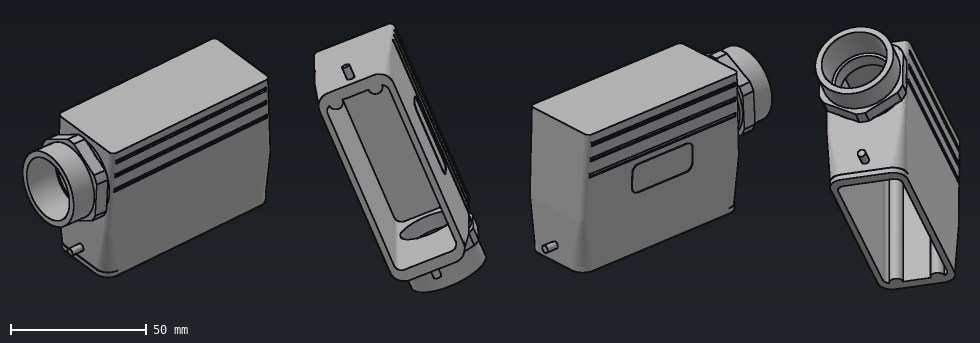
import cadquery as cq
import math

FLANGE_HEIGHT = 2.3
KNEE_HEIGHT = 22.3
BODY_HEIGHT = 58.31
BASE_HALF_WIDTH = 14.75
TOP_HALF_WIDTH = 16.2
BASE_HALF_LENGTH = 39.55
KNEE_HALF_LENGTH = 39.45
BODY_SHIFT = 0.1
END_TILT = 3.0
BASE_CORNER_RADIUS = 5.6
UPPER_CORNER_RADIUS = 2.1

CAVITY_HALF_WIDTH = 12.3
CAVITY_HALF_LENGTH = 35.0
CAVITY_CORNER_RADIUS = 3.0
ROOF_THICKNESS = 3.0
POST_RADIUS = 2.7
POST_OFFSET = 7.9

GROOVE_BANDS = ((40.2, 41.7), (46.9, 48.4), (53.2, 54.7))
GROOVE_FLOOR_HALF_WIDTH = 15.1
LABEL_LENGTH = 30.0
LABEL_HEIGHT = 12.0
LABEL_CORNER_RADIUS = 3.0
LABEL_CENTER_HEIGHT = 31.3
LABEL_DEPTH = 0.3

PIN_DIAMETER = 3.0
PIN_HEIGHT = 7.05
PIN_TIP_Y = 44.55

ENTRY_HEIGHT = 40.45
ENTRY_LENGTH = 16.61
COLLAR_DIAMETER = 31.0
SLEEVE_DIAMETER = 30.0
HEX_START = 1.45
HEX_THICKNESS = 5.35
HEX_ACROSS_FLATS = 32.0
HEX_CORNER_DIAMETER = 35.0
MOUTH_DIAMETER = 25.0
SEAT_DIAMETER = 24.24
THROUGH_DIAMETER = 21.8
TAPER_DEPTH = 12.5
SEAT_DEPTH = 13.4
THROUGH_DEPTH = 24.0


def half_width(z):
    """Outer half width of the hood; the sides flare evenly above the flange."""
    flare = (TOP_HALF_WIDTH - BASE_HALF_WIDTH) / (BODY_HEIGHT - FLANGE_HEIGHT)
    return BASE_HALF_WIDTH + flare * max(0.0, z - FLANGE_HEIGHT)


def upper_half_length(z):
    """Outer half length of the hood above the knee."""
    return KNEE_HALF_LENGTH - (z - KNEE_HEIGHT) * math.tan(math.radians(END_TILT))


def section(z, half_length, radius, shift=0.0):
    """Rounded rectangular outline of the hood at height z, moved by shift along Y."""
    outline = cq.Sketch().rect(2 * half_width(z), 2 * half_length).vertices().fillet(radius)
    return outline.moved(cq.Location(cq.Vector(0, shift, z)))


def ruled_between(lower, upper):
    return cq.Workplane("XY").placeSketch(lower, upper).loft(ruled=True)


def make_shell():
    base = section(0, BASE_HALF_LENGTH, BASE_CORNER_RADIUS)
    flange_top = section(FLANGE_HEIGHT, BASE_HALF_LENGTH, BASE_CORNER_RADIUS)
    body_base = section(FLANGE_HEIGHT, KNEE_HALF_LENGTH, BASE_CORNER_RADIUS, BODY_SHIFT)
    knee = section(KNEE_HEIGHT, KNEE_HALF_LENGTH, UPPER_CORNER_RADIUS, BODY_SHIFT)
    top = section(BODY_HEIGHT, upper_half_length(BODY_HEIGHT), UPPER_CORNER_RADIUS, BODY_SHIFT)
    shell = ruled_between(base, flange_top)
    shell = shell.union(ruled_between(body_base, knee))
    return shell.union(ruled_between(knee, top))


def make_cavity():
    """Empty space inside the hood, notched by the two posts."""
    depth = BODY_HEIGHT - ROOF_THICKNESS
    cavity = (
        cq.Workplane("XY")
        .rect(2 * CAVITY_HALF_WIDTH, 2 * CAVITY_HALF_LENGTH)
        .extrude(depth)
        .edges("|Z")
        .fillet(CAVITY_CORNER_RADIUS)
    )
    posts = (
        cq.Workplane("XY")
        .pushPoints([(side * POST_OFFSET, CAVITY_HALF_LENGTH) for side in (-1, 1)])
        .circle(POST_RADIUS)
        .extrude(depth)
    )
    return cavity.cut(posts)


def cut_grooves(body):
    """Rectangular grooves on both long sides, ending where the corner rounding begins."""
    for bottom, top in GROOVE_BANDS:
        length = 2 * (upper_half_length(top) - UPPER_CORNER_RADIUS)
        width = 2 * (TOP_HALF_WIDTH - GROOVE_FLOOR_HALF_WIDTH)
        for side in (-1, 1):
            groove = cq.Workplane("XY").box(width, length, top - bottom)
            body = body.cut(groove.translate((side * TOP_HALF_WIDTH, BODY_SHIFT, (bottom + top) / 2)))
    return body


def cut_label(body):
    """Shallow rounded recess in the -X side, parallel to the flared wall."""
    flare_slope = half_width(LABEL_CENTER_HEIGHT + 1) - half_width(LABEL_CENTER_HEIGHT)
    wall = cq.Plane(
        origin=(-half_width(LABEL_CENTER_HEIGHT), 0, LABEL_CENTER_HEIGHT),
        xDir=(0, -1, 0),
        normal=(-1, 0, -flare_slope),
    )
    outline = cq.Sketch().rect(LABEL_LENGTH, LABEL_HEIGHT).vertices().fillet(LABEL_CORNER_RADIUS)
    return body.cut(cq.Workplane(wall).placeSketch(outline).extrude(-LABEL_DEPTH))


def make_pin(end):
    """Pin on the end wall in the direction end (+1 or -1 along Y), rooted in that wall."""
    root = cq.Workplane("XZ", origin=(0, end * CAVITY_HALF_LENGTH, PIN_HEIGHT))
    return root.circle(PIN_DIAMETER / 2).extrude(-end * (PIN_TIP_Y - CAVITY_HALF_LENGTH))


def entry_workplane(distance):
    """Plane across the cable entry, at a distance outward from the end wall."""
    tilt = math.radians(END_TILT)
    plane = cq.Plane(
        origin=(0, BODY_SHIFT - upper_half_length(ENTRY_HEIGHT), ENTRY_HEIGHT),
        xDir=(0, math.sin(tilt), math.cos(tilt)),
        normal=(0, -math.cos(tilt), math.sin(tilt)),
    )
    return cq.Workplane(plane).workplane(offset=distance)


def make_entry():
    collar = entry_workplane(0).circle(COLLAR_DIAMETER / 2).extrude(HEX_START)
    across_corners = HEX_ACROSS_FLATS / math.cos(math.pi / 6)
    hexagon = entry_workplane(HEX_START).polygon(6, across_corners).extrude(HEX_THICKNESS)
    corner_limit = entry_workplane(HEX_START).circle(HEX_CORNER_DIAMETER / 2).extrude(HEX_THICKNESS)
    sleeve = entry_workplane(0).circle(SLEEVE_DIAMETER / 2).extrude(ENTRY_LENGTH)
    return collar.union(hexagon.intersect(corner_limit)).union(sleeve)


def make_entry_bore():
    """Tapered mouth, straight seat and narrower hole through to the cavity."""
    taper = (
        entry_workplane(ENTRY_LENGTH)
        .circle(MOUTH_DIAMETER / 2)
        .workplane(offset=-TAPER_DEPTH)
        .circle(SEAT_DIAMETER / 2)
        .loft()
    )
    seat = entry_workplane(ENTRY_LENGTH - SEAT_DEPTH).circle(SEAT_DIAMETER / 2)
    through = entry_workplane(ENTRY_LENGTH - THROUGH_DEPTH).circle(THROUGH_DIAMETER / 2)
    return taper.union(seat.extrude(SEAT_DEPTH - TAPER_DEPTH)).union(through.extrude(THROUGH_DEPTH))


hood = make_shell().union(make_entry()).cut(make_cavity())
hood = cut_label(cut_grooves(hood))
hood = hood.cut(make_entry_bore())
for end_direction in (-1, 1):
    hood = hood.union(make_pin(end_direction))

result = hood